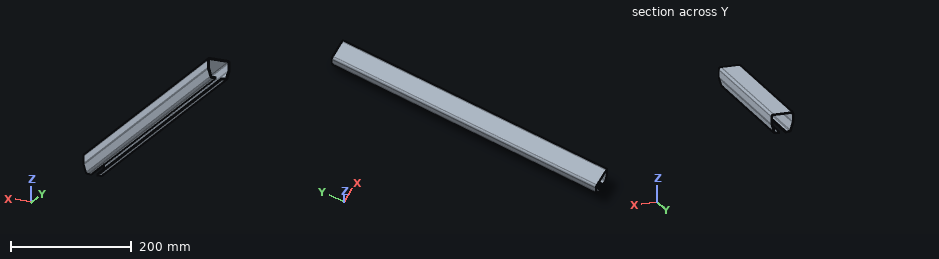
import cadquery as cq

length = 500.0
width = 40.0
height = 35.0
wall = 2.5

bend_height = 17.0
base_width = 29.5
slot_width = 11.0
corner_radius = 4.0
bend_radius = 6.0


def rounded_prism(points):
    """Extrude an outline along Y and round its corners."""
    prism = cq.Workplane("XZ").polyline(points).close().extrude(length / 2, both=True)
    bends = cq.selectors.BoxSelector(
        (-width, -length, bend_height - wall),
        (width, length, bend_height + wall),
    )
    long_edges = cq.selectors.ParallelDirSelector(cq.Vector(0, 1, 0))
    prism = prism.edges(long_edges - bends).fillet(corner_radius)
    return prism.edges(long_edges & bends).fillet(bend_radius)


def make_envelope():
    """Solid rail outline, with upright walls above and tapered walls below."""
    return rounded_prism([
        (-width / 2, height),
        (width / 2, height),
        (width / 2, bend_height),
        (base_width / 2, 0),
        (-base_width / 2, 0),
        (-width / 2, bend_height),
    ])


def make_rail():
    """Hollow the envelope to a constant wall and cut the slot between the lips."""
    rail = make_envelope().faces("<Y or >Y").shell(-wall)
    slot = cq.Workplane("XY").box(slot_width, length, 2 * wall).translate((0, 0, wall / 2))
    return rail.cut(slot)


result = make_rail()